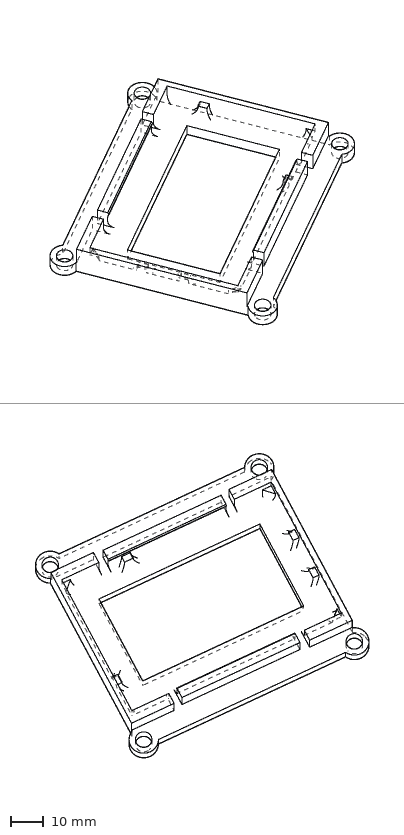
import cadquery as cq
import math

plate_width = 68.0
plate_length = 75.5
plate_thickness = 4.0
plate_center_y = 0.25
overall_length = 81.0
total_height = 10.0
wall_height = total_height - plate_thickness

ear_diameter = 9.0
ear_hole_diameter = 5.0
ear_x = 32.0
ear_back_y = overall_length / 2 - ear_diameter / 2
ear_front_left_y = -ear_back_y
ear_front_right_y = -35.5
ear_centers = [
    (-ear_x, ear_back_y),
    (ear_x, ear_back_y),
    (-ear_x, ear_front_left_y),
    (ear_x, ear_front_right_y),
]

window_width = 30.0
window_length = 55.0
window_center = (0.3, 0.2)

end_wall_outer_x = 27.6
end_wall_inner_x = 24.0
end_wall_thickness_y = 1.95
end_wall_arm_start = 23.2
side_wall_outer_x = 27.0
side_wall_inner_x = 23.65
side_wall_length = 40.3
cavity_half_length = plate_length / 2 - end_wall_thickness_y
cavity_back_y = plate_center_y + cavity_half_length
cavity_front_y = plate_center_y - cavity_half_length

cove_radius = 2.0
post_width = 3.0
post_depth = 2.0
post_height = 2.8
block_leg = 3.0
overlap = 0.8

block_corners = [(1, 1), (-1, -1), (1, -1)]

ridge_depth = 0.4
ridge_slope_height = 0.7

posts = [
    ((-11.8, cavity_back_y), -90),
    ((-7.2, cavity_front_y), 90),
    ((6.5, cavity_front_y), 90),
    ((side_wall_inner_x, 14.25), 180),
]


def floor_box(width, length):
    """Wall-high box standing centred on the top face of the plate."""
    return (
        cq.Workplane("XY", origin=(0, plate_center_y, plate_thickness))
        .rect(width, length)
        .extrude(wall_height)
    )


def face_plane(point, angle):
    """Upright plane at a wall face: local x points inward along angle, local y points up."""
    c = math.cos(math.radians(angle))
    s = math.sin(math.radians(angle))
    return cq.Workplane(cq.Plane(origin=(*point, plate_thickness), xDir=(c, s, 0), normal=(s, -c, 0)))


def concave_point(foot, side):
    """Middle of the cove arc whose upper end is at local x = foot, flaring towards side."""
    reach = cove_radius * (1 - math.sqrt(0.5))
    return (foot + side * reach, reach)


def coved_slab(point, angle, back, front, height, length):
    """Slab from local x = back to front whose front face ends in a cove at the floor."""
    return (
        face_plane(point, angle)
        .moveTo(back, 0)
        .lineTo(front + cove_radius, 0)
        .threePointArc(concave_point(front, 1), (front, cove_radius))
        .lineTo(front, height)
        .lineTo(back, height)
        .close()
        .extrude(length / 2, both=True)
    )


def make_plate():
    """Flat base with a round ear at each corner."""
    plate = cq.Workplane("XY").rect(plate_width, plate_length).extrude(plate_thickness)
    plate = plate.translate((0, plate_center_y, 0))
    ears = cq.Workplane("XY").pushPoints(ear_centers).circle(ear_diameter / 2).extrude(plate_thickness)
    return plate.union(ears)


def make_corner_block(side_x, side_y):
    """Low triangular block across one inner corner, coved at its foot."""
    corner = (side_x * end_wall_inner_x, plate_center_y + side_y * cavity_half_length)
    angle = math.degrees(math.atan2(-side_y, -side_x))
    return coved_slab(corner, angle, -overlap, block_leg / math.sqrt(2), post_height, 4 * block_leg)


def make_end_walls():
    """Closed rectangular wall with corner blocks, opened by removing the middle of its long sides."""
    outer = floor_box(2 * end_wall_outer_x, plate_length)
    thickness = end_wall_outer_x - end_wall_inner_x
    walls = cq.Workplane()
    for side in (-1, 1):
        end_face = (0, plate_center_y + side * cavity_half_length)
        walls = walls.add(
            coved_slab(end_face, -90 * side, -end_wall_thickness_y, 0, wall_height, 2 * end_wall_outer_x)
        )
        side_face = (side * end_wall_inner_x, plate_center_y)
        walls = walls.add(coved_slab(side_face, 90 + 90 * side, -thickness, 0, wall_height, plate_length))
    for side_x, side_y in block_corners:
        walls = walls.add(make_corner_block(side_x, side_y))
    walls = walls.combine().intersect(outer)
    middle = floor_box(2 * end_wall_outer_x, 2 * end_wall_arm_start)
    return walls.cut(middle)


def make_side_wall(side):
    """Straight wall with a coved foot and a ridge at its inner top edge, sloped above and coved below."""
    face = (side * side_wall_inner_x, plate_center_y)
    angle = 90 + 90 * side
    back = side_wall_inner_x - side_wall_outer_x
    wall = coved_slab(face, angle, back, 0, wall_height, side_wall_length)
    nose_y = wall_height - ridge_slope_height
    underside_height = math.sqrt(cove_radius**2 - (cove_radius - ridge_depth) ** 2)
    ridge_bottom = nose_y - underside_height
    half_sweep = math.asin(underside_height / cove_radius) / 2
    arc_middle = (cove_radius * (1 - math.cos(half_sweep)), ridge_bottom + cove_radius * math.sin(half_sweep))
    ridge = (
        face_plane(face, angle)
        .moveTo(0, wall_height)
        .lineTo(ridge_depth, nose_y)
        .threePointArc(arc_middle, (0, ridge_bottom))
        .lineTo(-overlap, ridge_bottom)
        .lineTo(-overlap, wall_height)
        .close()
        .extrude(side_wall_length / 2, both=True)
    )
    return wall.union(ridge)


def make_post(point, angle):
    """Square post against a wall, with mitred coves around its foot."""
    reach = post_depth + cove_radius
    half = post_width / 2
    depth_shape = coved_slab(point, angle, -overlap, post_depth, post_height, post_width + 2 * cove_radius)
    width_shape = (
        face_plane(point, angle + 90)
        .moveTo(-half - cove_radius, 0)
        .lineTo(half + cove_radius, 0)
        .threePointArc(concave_point(half, 1), (half, cove_radius))
        .lineTo(half, post_height)
        .lineTo(-half, post_height)
        .lineTo(-half, cove_radius)
        .threePointArc(concave_point(-half, -1), (-half - cove_radius, 0))
        .close()
        .extrude(reach, both=True)
    )
    return depth_shape.intersect(width_shape)


result = make_plate().union(make_end_walls())
for side in (-1, 1):
    result = result.union(make_side_wall(side))
for point, angle in posts:
    result = result.union(make_post(point, angle))

window = cq.Workplane("XY").center(*window_center).rect(window_width, window_length).extrude(plate_thickness)
ear_holes = cq.Workplane("XY").pushPoints(ear_centers).circle(ear_hole_diameter / 2).extrude(plate_thickness)
result = result.cut(window).cut(ear_holes)